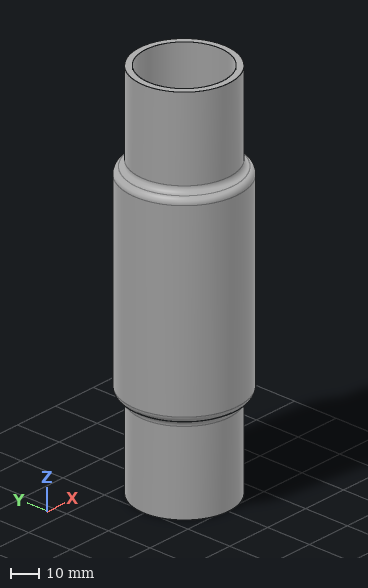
import cadquery as cq
import math

length = 170.0
body_diameter = 50.8
pipe_diameter = 42.5
bore_diameter = 36.9
pipe_length = 37.2
shoulder_length = 5.8

body_radius = body_diameter / 2
pipe_radius = pipe_diameter / 2
bore_radius = bore_diameter / 2
half_length = length / 2

shoulder_height = body_radius - pipe_radius
arc_angle = 2 * math.atan2(shoulder_height, shoulder_length)
arc_radius = shoulder_length / 2 / math.sin(arc_angle)

pipe_start = half_length - pipe_length
body_end = pipe_start - shoulder_length
shoulder_middle = (pipe_start + body_end) / 2
middle_radius = (body_radius + pipe_radius) / 2

arc_rise = arc_radius * (1 - math.cos(arc_angle / 2))
arc_run = arc_radius * math.sin(arc_angle / 2)

shoulder_points = [
    (body_radius, body_end),
    (body_radius - arc_rise, body_end + arc_run),
    (middle_radius, shoulder_middle),
    (pipe_radius + arc_rise, pipe_start - arc_run),
    (pipe_radius, pipe_start),
]


def add_shoulder(profile, points):
    """Draw a line to the first point, then the two shoulder arcs through the rest."""
    start, first_mid, meeting, second_mid, end = points
    profile = profile.lineTo(*start)
    profile = profile.threePointArc(first_mid, meeting)
    return profile.threePointArc(second_mid, end)


lower_shoulder = [(radius, -height) for radius, height in reversed(shoulder_points)]

wall = cq.Workplane("XZ").moveTo(bore_radius, -half_length).lineTo(pipe_radius, -half_length)
wall = add_shoulder(wall, lower_shoulder)
wall = add_shoulder(wall, shoulder_points)
wall = wall.lineTo(pipe_radius, half_length).lineTo(bore_radius, half_length).close()

result = wall.revolve(360, (0, 0, 0), (0, 1, 0))